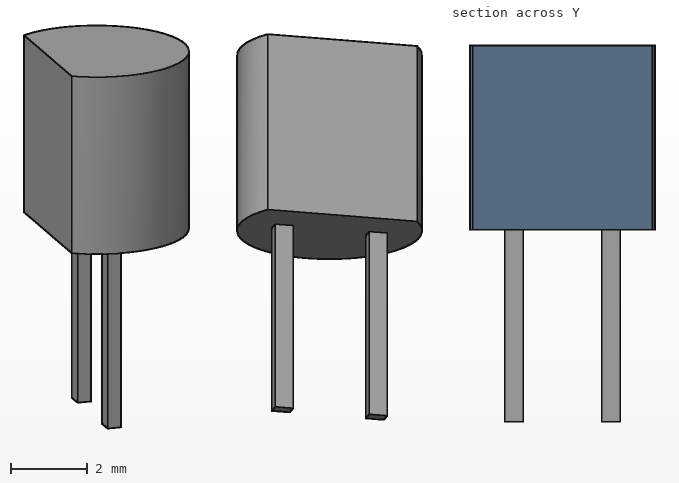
import cadquery as cq

total_height = 9.8
body_diameter = 4.82
body_depth = 3.74
body_height = 4.8

lead_width = 0.49
lead_thickness = 0.37
lead_spacing = 2.53
lead_length = total_height - body_height

body_radius = body_diameter / 2
flat_y = body_radius - body_depth


def make_body():
    """Upright cylinder cut by a flat on its -Y side, resting on Z = 0."""
    cylinder = cq.Workplane("XY").circle(body_radius).extrude(body_height)
    keep = cq.Workplane("XY").box(
        body_diameter, body_depth, body_height, centered=(True, False, False)
    ).translate((0, flat_y, 0))
    return cylinder.intersect(keep)


def make_leads():
    """Pair of straight leads hanging down from the body's underside."""
    return (
        cq.Workplane("XY")
        .rarray(lead_spacing, 0.1, 2, 1)
        .rect(lead_width, lead_thickness)
        .extrude(-lead_length)
    )


result = make_body().union(make_leads())